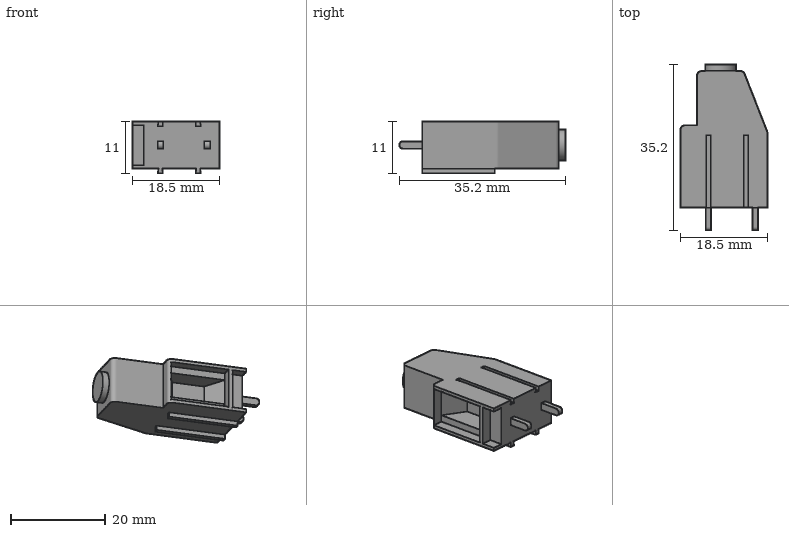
import cadquery as cq
import math

BODY_WIDTH = 18.5
BODY_LENGTH = 29.0
BODY_HEIGHT = 10.0
MID_HEIGHT = BODY_HEIGHT / 2
SHOULDER_WIDTH = 3.5
SHOULDER_Y = 17.5
SLOPE_START_Y = 16.0
SLOPE_TOP_X = 13.4
CORNER_RADIUS = 1.05

STUB_DIAMETER = 6.6
STUB_LENGTH = 1.4
STUB_X = 8.55

RECESS_DEPTH = 2.4
RECESS_MARGIN = 0.75
RECESS_HEIGHT = BODY_HEIGHT - 2 * RECESS_MARGIN
END_RECESS_LENGTH = 3.1
WINDOW_START_Y = 4.0
WINDOW_END_Y = 16.9

FUNNEL_HEIGHT = 5.5
FUNNEL_DEPTH = 5.0
FUNNEL_ANGLE = 30.0
FUNNEL_TAPER = FUNNEL_DEPTH * math.tan(math.radians(FUNNEL_ANGLE))

DOVETAIL_XS = (5.95, 13.95)
DOVETAIL_LENGTH = 15.4
DOVETAIL_DEPTH = 1.0
DOVETAIL_NARROW = 0.9
DOVETAIL_WIDE = 1.1

PIN_XS = (5.95, 15.9)
PIN_WIDTH = 1.2
PIN_HEIGHT = 1.6
PIN_LENGTH = 4.85
PIN_TIP_RADIUS = 0.75


def make_block():
    """Stepped, sloping outline extruded upward, with its outer corners rounded."""
    block = (
        cq.Workplane("XY")
        .moveTo(0, 0)
        .lineTo(BODY_WIDTH, 0)
        .lineTo(BODY_WIDTH, SLOPE_START_Y)
        .lineTo(SLOPE_TOP_X, BODY_LENGTH)
        .lineTo(SHOULDER_WIDTH, BODY_LENGTH)
        .lineTo(SHOULDER_WIDTH, SHOULDER_Y)
        .lineTo(0, SHOULDER_Y)
        .close()
        .extrude(BODY_HEIGHT)
    )
    rounded_corners = (
        (0, SHOULDER_Y),
        (SHOULDER_WIDTH, BODY_LENGTH),
        (SLOPE_TOP_X, BODY_LENGTH),
        (BODY_WIDTH, SLOPE_START_Y),
    )
    for x, y in rounded_corners:
        corner_edge = cq.selectors.NearestToPointSelector((x, y, MID_HEIGHT))
        block = block.edges("|Z").edges(corner_edge).fillet(CORNER_RADIUS)
    return block


def make_stub():
    """Round stub standing on the +Y end."""
    return (
        cq.Workplane("XZ", origin=(STUB_X, BODY_LENGTH, MID_HEIGHT))
        .circle(STUB_DIAMETER / 2)
        .extrude(-STUB_LENGTH)
    )


def make_side_recess(start_y, end_y):
    """Rectangular cutter for a recess in the wire-entry side."""
    return (
        cq.Workplane("XY", origin=(0, start_y, RECESS_MARGIN))
        .box(RECESS_DEPTH, end_y - start_y, RECESS_HEIGHT, centered=False)
    )


def make_funnel():
    """Cutter that narrows in Y as it goes deeper and keeps one height in Z."""
    floor_x = RECESS_DEPTH + FUNNEL_DEPTH
    return (
        cq.Workplane("XY", origin=(0, 0, MID_HEIGHT))
        .moveTo(RECESS_DEPTH, WINDOW_START_Y)
        .lineTo(floor_x, WINDOW_START_Y + FUNNEL_TAPER)
        .lineTo(floor_x, WINDOW_END_Y - FUNNEL_TAPER)
        .lineTo(RECESS_DEPTH, WINDOW_END_Y)
        .close()
        .extrude(FUNNEL_HEIGHT / 2, both=True)
    )


def make_dovetail(center_x, top_z):
    """Bar along Y that is narrow at top_z and wide at its lower face."""
    return (
        cq.Workplane("XZ", origin=(center_x, 0, top_z))
        .moveTo(-DOVETAIL_NARROW / 2, 0)
        .lineTo(DOVETAIL_NARROW / 2, 0)
        .lineTo(DOVETAIL_WIDE / 2, -DOVETAIL_DEPTH)
        .lineTo(-DOVETAIL_WIDE / 2, -DOVETAIL_DEPTH)
        .close()
        .extrude(-DOVETAIL_LENGTH)
    )


def make_housing():
    """Block and stub with the side recesses, funnel, grooves and ribs."""
    housing = make_block().union(make_stub())
    housing = housing.cut(make_side_recess(0, END_RECESS_LENGTH))
    housing = housing.cut(make_side_recess(WINDOW_START_Y, WINDOW_END_Y))
    housing = housing.cut(make_funnel())
    for center_x in DOVETAIL_XS:
        housing = housing.cut(make_dovetail(center_x, BODY_HEIGHT))
        housing = housing.union(make_dovetail(center_x, 0))
    return housing


def make_pin(center_x):
    """Flat pin on the Y = 0 face, with the two tip edges along X rounded."""
    return (
        cq.Workplane("XZ", origin=(center_x, 0, MID_HEIGHT))
        .rect(PIN_WIDTH, PIN_HEIGHT)
        .extrude(PIN_LENGTH)
        .faces("<Y")
        .edges("|X")
        .fillet(PIN_TIP_RADIUS)
    )


housing = make_housing()
pins = [make_pin(center_x) for center_x in PIN_XS]

result = cq.Compound.makeCompound([housing.val(), *[pin.val() for pin in pins]])